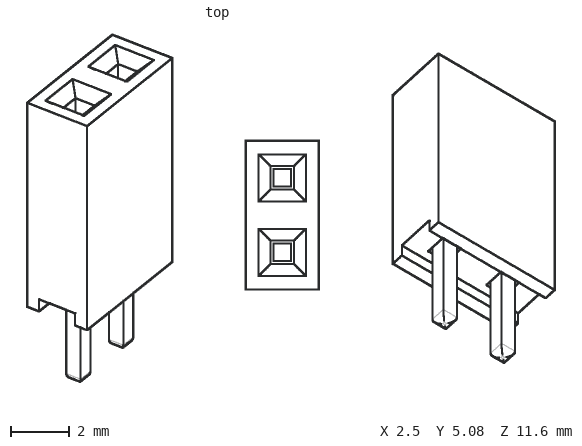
import cadquery as cq

total_height = 11.55
pin_drop = 3.16
housing_height = total_height - pin_drop
pitch = 2.54
pin_count = 2
housing_width = 2.5
housing_length = pitch * pin_count

hole_side = 0.8
funnel_side = 1.6
funnel_depth = (funnel_side - hole_side) / 2

channel_width = 1.5
channel_depth = 0.5

pin_side = 0.6
pin_tip_radius = 0.25
pin_top = housing_height / 2

pin_positions = [(i - (pin_count - 1) / 2) * pitch for i in range(pin_count)]


def make_socket_cutter(y):
    """Through hole plus tapered lead-in for one contact."""
    hole = cq.Workplane("XY").center(0, y).rect(hole_side, hole_side).extrude(housing_height)
    funnel = (
        cq.Workplane("XY", origin=(0, y, housing_height - funnel_depth))
        .rect(hole_side, hole_side)
        .workplane(offset=funnel_depth)
        .rect(funnel_side, funnel_side)
        .loft(ruled=True)
    )
    return hole.union(funnel)


def make_housing():
    """Rectangular block with an underside channel and one socket per pin."""
    base_at_zero = (True, True, False)
    body = cq.Workplane("XY").box(housing_width, housing_length, housing_height, centered=base_at_zero)
    channel = cq.Workplane("XY").box(channel_width, housing_length, channel_depth, centered=base_at_zero)
    body = body.cut(channel)
    for y in pin_positions:
        body = body.cut(make_socket_cutter(y))
    return body


def make_pin(y):
    """Square pin standing clear of the socket walls, with a rounded tip."""
    return (
        cq.Workplane("XY", origin=(0, y, -pin_drop))
        .rect(pin_side, pin_side)
        .extrude(pin_drop + pin_top)
        .faces("<Z")
        .edges()
        .fillet(pin_tip_radius)
    )


housing = make_housing()
pins = [make_pin(y) for y in pin_positions]

result = cq.Compound.makeCompound([housing.val(), *[pin.val() for pin in pins]])